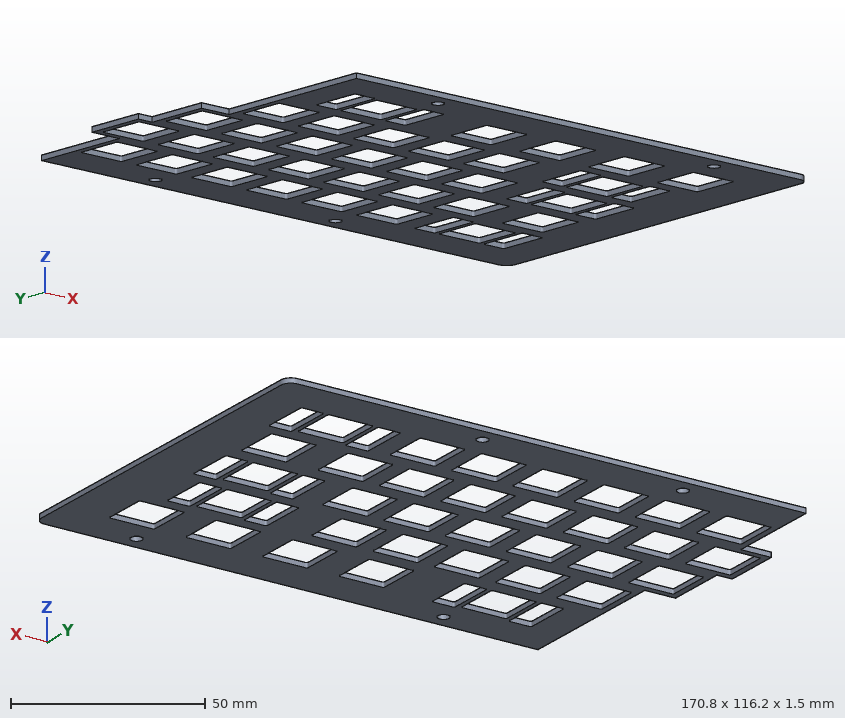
import cadquery as cq

PITCH = 19.05

KEY_ROWS = (
    (1, 1, 1, 1, 1, 1, 2),
    (1, 1, 1, 1, 1, 1, 1, 1.5),
    (1, 1, 1, 1, 1, 1, 2.25),
    (1, 1, 1, 1, 1, 2.75),
    (2.75, 1.25, 1.25, 1.25, 1.25),
)

THICKNESS = 1.5
PLATE_DEPTH = 116.2
RIGHT_MARGIN = 9.4
LEFT_INSET = 0.535
PLATE_WIDTH = max(sum(widths) for widths in KEY_ROWS) * PITCH + RIGHT_MARGIN - LEFT_INSET
CORNER_RADIUS = 3.0

RIGHT = PLATE_WIDTH / 2
TOP = PLATE_DEPTH / 2
BOTTOM = -TOP
ROWS_END = RIGHT - RIGHT_MARGIN

SWITCH_SIZE = 14.0
STABILIZER_WIDTH = 7.0
STABILIZER_DEPTH = 15.0
STABILIZER_SPREAD = 11.94
STABILIZER_DROP = 0.5
CUTOUT_RADIUS = 0.5

SCREW_DIAMETER = 3.4
SCREW_EDGE_DISTANCE = 5.0
TOP_SCREWS_X = (-40.9, 21.4)
BOTTOM_SCREWS_X = (-38.4, 57.1)

SMALLEST_STABILIZED_KEY = 2


def row_center(row):
    """Y of a key row; row 0 is at the top and the middle row lies on Y = 0."""
    return ((len(KEY_ROWS) - 1) / 2 - row) * PITCH


def row_left_edge(row):
    """X of the plate's left edge beside a key row."""
    return ROWS_END - sum(KEY_ROWS[row]) * PITCH + LEFT_INSET


def make_plate():
    """Plate with a left edge that follows the stagger of the key rows."""
    half_step = PITCH / 2 - LEFT_INSET
    tab_top = row_center(1) + half_step
    tab_bottom = row_center(1) - half_step
    step_bottom = row_center(2) - half_step
    outline = [
        (RIGHT, BOTTOM),
        (RIGHT, TOP),
        (row_left_edge(0), TOP),
        (row_left_edge(0), tab_top),
        (row_left_edge(1), tab_top),
        (row_left_edge(1), tab_bottom),
        (row_left_edge(2), tab_bottom),
        (row_left_edge(2), step_bottom),
        (row_left_edge(3), step_bottom),
        (row_left_edge(3), BOTTOM),
    ]
    plate = cq.Workplane("XY").polyline(outline).close().extrude(THICKNESS)
    return plate.edges("|Z").edges(">X").fillet(CORNER_RADIUS)


def key_positions():
    """Centre and width in units of every key."""
    keys = []
    for row, widths in enumerate(KEY_ROWS):
        cell_end = ROWS_END
        for units in reversed(widths):
            cell_width = units * PITCH
            keys.append((cell_end - cell_width / 2, row_center(row), units))
            cell_end -= cell_width
    return keys


def cut_windows(plate, centers, width, depth):
    """Cut rounded rectangular windows through the plate."""
    windows = (
        cq.Workplane("XY")
        .pushPoints(centers)
        .rect(width, depth)
        .extrude(THICKNESS)
        .edges("|Z")
        .fillet(CUTOUT_RADIUS)
    )
    return plate.cut(windows)


def cut_screw_holes(plate):
    """Two clearance holes along the top edge and two along the bottom edge."""
    screw_y = TOP - SCREW_EDGE_DISTANCE
    centers = [(x, screw_y) for x in TOP_SCREWS_X]
    centers += [(x, -screw_y) for x in BOTTOM_SCREWS_X]
    holes = cq.Workplane("XY").pushPoints(centers).circle(SCREW_DIAMETER / 2).extrude(THICKNESS)
    return plate.cut(holes)


keys = key_positions()
switch_centers = [(x, y) for x, y, units in keys]
stabilizer_centers = [
    (x + side * STABILIZER_SPREAD, y - STABILIZER_DROP)
    for x, y, units in keys
    if units >= SMALLEST_STABILIZED_KEY
    for side in (-1, 1)
]

result = make_plate()
result = cut_windows(result, switch_centers, SWITCH_SIZE, SWITCH_SIZE)
result = cut_windows(result, stabilizer_centers, STABILIZER_WIDTH, STABILIZER_DEPTH)
result = cut_screw_holes(result)